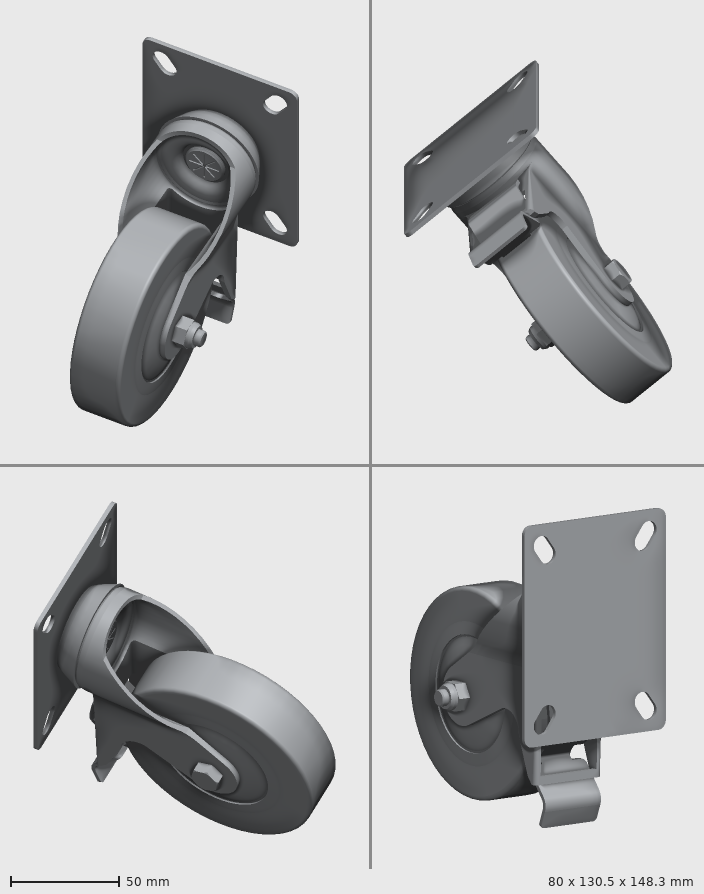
import cadquery as cq
import math


PLATE_WIDTH = 80.0
PLATE_HEIGHT = 104.2
PLATE_THICKNESS = 2.1
PLATE_CORNER_RADIUS = 4.2
SLOT_X = 28.6
SLOT_Z = 40.0
SLOT_RADIUS = 4.5
SLOT_LENGTH = 14.8
SLOT_ANGLE = 54.0

CUP_BACK_RADIUS = 20.6
CUP_SHOULDER_RADIUS = 22.4
CUP_RIM_RADIUS = 26.2
CUP_NECK_RADIUS = 24.5
CUP_SHOULDER_Y = -5.0
CUP_RIM_Y = -13.6

KINGPIN_RADIUS = 6.0
KINGPIN_HEAD_RADIUS = 10.1
KINGPIN_HEAD_HEIGHT = 2.1
KINGPIN_HEAD_CHAMFER = 0.9
STAKE_COUNT = 8
STAKE_LENGTH = 7.7
STAKE_WIDTH = 0.7
STAKE_DEPTH = 0.7

LEG_THICKNESS = 3.0
ARCH_THICKNESS = 2.1
FORK_BACK_Y = -14.5
FORK_RADIUS = 25.6
FORK_BACK_RADIUS = 25.0
FORK_EDGE_Y = -17.5
DISC_FRONT_Y = -20.2
DISC_FILLET = 1.6
DISC_RADIUS = 20.8
BOWL_RADIUS = 18.4
BOWL_FLOOR_RADIUS = 11.9
BOWL_FLOOR_Y = -16.0
LEG_OUTER_X = 18.8
LEG_TANGENT_Z = -21.3
LEG_END_RADIUS = 14.4
LEG_BACK_Y = -20.0
LEG_FOOT_Y = -21.2
LEG_BOTTOM_Z = -75.6
LEG_BEND_TOP_RADIUS = 0.5
LEG_BEND_FOOT_RADIUS = 2.4
WINDOW_TOP_Z = -44.5
WINDOW_BOTTOM_Z = -71.7
WEB_THICKNESS = 2.2
WEB_BEND_RADIUS = 2.2

AXLE_Y = -80.5
AXLE_Z = -42.5
WHEEL_RADIUS = 50.0
WHEEL_HALF_WIDTH = 13.0
TYRE_EDGE_RADIUS = 2.1
RIM_RADIUS = 33.8
RIM_LIP_RADIUS = 27.7
RIM_LIP_HALF_WIDTH = 13.5
RIM_GROOVE_DEPTH = 0.9
DOME_RADIUS = 26.7
DOME_SHOULDER_RADIUS = 19.3
DOME_SHOULDER_HALF_WIDTH = 15.1
HUB_FACE_RADIUS = 14.8

BOLT_RADIUS = 4.0
BOLT_END_X = 31.5
BOLT_END_CHAMFER = 0.6
HEX_ACROSS_FLATS = 12.9
HEX_CHAMFER = 0.7
BOLT_HEAD_HEIGHT = 5.3
BOLT_HEAD_TURN = -20.0
NUT_HEX_HEIGHT = 6.1
NUT_COLLAR_RADIUS = 6.4
NUT_COLLAR_HEIGHT = 3.3
NUT_COLLAR_CHAMFER = 0.9

PEDAL_THICKNESS = 2.0
PEDAL_HALF_WIDTH = 15.7
PEDAL_SPRING_HALF_WIDTH = 14.4
PEDAL_NECK_HALF_WIDTH = 8.5
PEDAL_NECK_START_Y = -28.5
PEDAL_NECK_END_Z = -68.0
PEDAL_CORNER_RADIUS = 2.0
PEDAL_LINE = [
    (-18.2, -34.1),
    (-16.9, -43.0),
    (-16.9, -47.7),
    (-34.1, -65.0),
    (-17.5, -84.0),
    (-22.2, -95.8),
]
PEDAL_BEND_RADII = [1.0, 1.0, 1.0, 5.0]

ring_front_y = LEG_BACK_Y - WEB_THICKNESS
leg_inner_x = LEG_OUTER_X - LEG_THICKNESS

flare_radius = (LEG_TANGENT_Z**2 + LEG_OUTER_X**2 - FORK_RADIUS**2) / (2 * (FORK_RADIUS - LEG_OUTER_X))
flare_x = LEG_OUTER_X + flare_radius
flare_distance = math.hypot(flare_x, LEG_TANGENT_Z)
fork_length = FORK_EDGE_Y - AXLE_Y + LEG_END_RADIUS
flare_top_z = LEG_TANGENT_Z * FORK_RADIUS / flare_distance


def revolve_about_y(outline):
    """Turn a closed outline drawn in the XY plane about the Y axis."""
    return outline.revolve(360, (0, 0, 0), (0, 1, 0))


def axle_cylinder(radius, x_start, x_end):
    return (
        cq.Workplane("YZ", origin=(x_start, AXLE_Y, AXLE_Z))
        .circle(radius)
        .extrude(x_end - x_start)
    )


def axle_hexagon(x_start, x_end, turn):
    """Hexagonal prism on the axle; with no turn, two corners point along Y."""
    corner_diameter = HEX_ACROSS_FLATS / math.cos(math.pi / 6)
    return (
        cq.Workplane("YZ", origin=(x_start, AXLE_Y, AXLE_Z))
        .transformed(rotate=(0, 0, turn))
        .polygon(6, corner_diameter)
        .extrude(x_end - x_start)
    )


def mounting_plate():
    plate = (
        cq.Workplane("XZ")
        .rect(PLATE_WIDTH, PLATE_HEIGHT)
        .extrude(PLATE_THICKNESS)
        .edges("|Y")
        .fillet(PLATE_CORNER_RADIUS)
    )
    for side_x in (-1, 1):
        for side_z in (-1, 1):
            slot = (
                cq.Workplane("XZ")
                .center(side_x * SLOT_X, side_z * SLOT_Z)
                .slot2D(SLOT_LENGTH, 2 * SLOT_RADIUS, side_x * side_z * SLOT_ANGLE)
                .extrude(PLATE_THICKNESS)
            )
            plate = plate.cut(slot)
    return plate


def swivel_cup():
    outline = (
        cq.Workplane("XY")
        .moveTo(KINGPIN_RADIUS, -PLATE_THICKNESS)
        .lineTo(CUP_BACK_RADIUS, -PLATE_THICKNESS)
        .lineTo(CUP_SHOULDER_RADIUS, CUP_SHOULDER_Y)
        .lineTo(CUP_RIM_RADIUS, CUP_RIM_Y)
        .lineTo(CUP_NECK_RADIUS, CUP_RIM_Y)
        .lineTo(CUP_NECK_RADIUS, FORK_BACK_Y)
        .lineTo(KINGPIN_RADIUS, FORK_BACK_Y)
        .close()
    )
    return revolve_about_y(outline)


def kingpin():
    head_front_y = BOWL_FLOOR_Y - KINGPIN_HEAD_HEIGHT
    outline = (
        cq.Workplane("XY")
        .moveTo(0, -PLATE_THICKNESS)
        .lineTo(KINGPIN_RADIUS, -PLATE_THICKNESS)
        .lineTo(KINGPIN_RADIUS, BOWL_FLOOR_Y)
        .lineTo(KINGPIN_HEAD_RADIUS, BOWL_FLOOR_Y)
        .lineTo(KINGPIN_HEAD_RADIUS, head_front_y + KINGPIN_HEAD_CHAMFER)
        .lineTo(KINGPIN_HEAD_RADIUS - KINGPIN_HEAD_CHAMFER, head_front_y)
        .lineTo(0, head_front_y)
        .close()
    )
    pin = revolve_about_y(outline)
    for index in range(STAKE_COUNT):
        groove = (
            cq.Workplane("XZ", origin=(0, head_front_y + STAKE_DEPTH, 0))
            .transformed(rotate=(0, 0, index * 360 / STAKE_COUNT))
            .center(STAKE_LENGTH / 2, 0)
            .rect(STAKE_LENGTH, STAKE_WIDTH)
            .extrude(STAKE_DEPTH)
        )
        pin = pin.cut(groove)
    return pin


def arch_block():
    """Solid arch on two straight legs, running along -Y, with flared sides where they join."""
    tangent_x = flare_x * FORK_RADIUS / flare_distance
    middle_angle = (math.pi + math.atan2(-LEG_TANGENT_Z, -flare_x)) / 2
    middle_x = flare_x + flare_radius * math.cos(middle_angle)
    middle_z = LEG_TANGENT_Z + flare_radius * math.sin(middle_angle)
    return (
        cq.Workplane("XZ", origin=(0, FORK_EDGE_Y, 0))
        .moveTo(LEG_OUTER_X, LEG_BOTTOM_Z)
        .lineTo(LEG_OUTER_X, LEG_TANGENT_Z)
        .threePointArc((middle_x, middle_z), (tangent_x, flare_top_z))
        .threePointArc((0, FORK_RADIUS), (-tangent_x, flare_top_z))
        .threePointArc((-middle_x, middle_z), (-LEG_OUTER_X, LEG_TANGENT_Z))
        .lineTo(-LEG_OUTER_X, LEG_BOTTOM_Z)
        .close()
        .extrude(fork_length)
    )


def arch_hollow():
    """Space inside the arch and between the legs."""
    bore_radius = FORK_RADIUS - ARCH_THICKNESS
    corner_z = -math.sqrt(bore_radius**2 - leg_inner_x**2)
    return (
        cq.Workplane("XZ", origin=(0, FORK_EDGE_Y, 0))
        .moveTo(leg_inner_x, LEG_BOTTOM_Z)
        .lineTo(leg_inner_x, corner_z)
        .threePointArc((0, bore_radius), (-leg_inner_x, corner_z))
        .lineTo(-leg_inner_x, LEG_BOTTOM_Z)
        .close()
        .extrude(fork_length)
    )


def leg_end_tangent(y, z, side):
    """Point where the line from (y, z) touches the round leg end, on the upper (+1) or lower (-1) side."""
    away = math.atan2(z - AXLE_Z, y - AXLE_Y)
    opening = math.acos(LEG_END_RADIUS / math.hypot(z - AXLE_Z, y - AXLE_Y))
    angle = away + side * opening
    return AXLE_Y + LEG_END_RADIUS * math.cos(angle), AXLE_Z + LEG_END_RADIUS * math.sin(angle)


def fork_side_block():
    """The fork's side outline, as a block across its whole width."""
    block_top_z = FORK_RADIUS + 1.5
    brow_top = (-22.5, block_top_z)
    brow_middle = (-24.0, 20.5)
    brow_bottom = (-26.1, 15.7)
    upper_knee = (-68.5, -17.6)
    notch_start = (-47.1, -43.1)
    notch_middle = (-38.8, -44.9)
    notch_end = (-34.4, -54.0)
    heel = (-27.1, -72.3)
    foot = (-24.0, LEG_BOTTOM_Z)
    return (
        cq.Workplane("YZ")
        .moveTo(FORK_EDGE_Y, block_top_z)
        .lineTo(*brow_top)
        .threePointArc(brow_middle, brow_bottom)
        .lineTo(*upper_knee)
        .lineTo(*leg_end_tangent(*upper_knee, 1))
        .threePointArc((AXLE_Y - LEG_END_RADIUS, AXLE_Z), leg_end_tangent(*notch_start, -1))
        .lineTo(*notch_start)
        .threePointArc(notch_middle, notch_end)
        .lineTo(*heel)
        .lineTo(*foot)
        .lineTo(LEG_FOOT_Y, LEG_BOTTOM_Z)
        .lineTo(LEG_BACK_Y, LEG_TANGENT_Z)
        .lineTo(LEG_BACK_Y, flare_top_z)
        .lineTo(FORK_EDGE_Y, flare_top_z)
        .close()
        .extrude(block_top_z, both=True)
    )


def fork_base():
    """Ring around the swivel axis with a dished disc across it."""
    bore = FORK_RADIUS - ARCH_THICKNESS
    fillet_front_y = ring_front_y + DISC_FILLET
    fillet_centre = (bore - DISC_FILLET, fillet_front_y - DISC_FILLET)
    fillet_reach = DISC_FILLET * math.sqrt(0.5)
    bowl_middle = (14.2, -18.8)
    outline = (
        cq.Workplane("XY")
        .moveTo(KINGPIN_RADIUS, FORK_BACK_Y)
        .lineTo(FORK_BACK_RADIUS, FORK_BACK_Y)
        .lineTo(FORK_RADIUS, FORK_EDGE_Y)
        .lineTo(FORK_RADIUS, ring_front_y)
        .lineTo(bore, ring_front_y)
        .threePointArc(
            (fillet_centre[0] + fillet_reach, fillet_centre[1] + fillet_reach),
            (fillet_centre[0], fillet_front_y),
        )
        .lineTo(DISC_RADIUS, DISC_FRONT_Y)
        .lineTo(BOWL_RADIUS, DISC_FRONT_Y)
        .threePointArc(bowl_middle, (BOWL_FLOOR_RADIUS, BOWL_FLOOR_Y))
        .lineTo(KINGPIN_RADIUS, BOWL_FLOOR_Y)
        .close()
    )
    return revolve_about_y(outline)


def web_outline(plane, back_y):
    """Cross-section of the web, with a rounded bend into each leg."""
    front_y = back_y - WEB_THICKNESS
    bend_y = front_y - WEB_BEND_RADIUS
    return (
        plane.moveTo(-leg_inner_x, back_y)
        .lineTo(leg_inner_x, back_y)
        .lineTo(leg_inner_x, bend_y)
        .radiusArc((leg_inner_x - WEB_BEND_RADIUS, front_y), -WEB_BEND_RADIUS)
        .lineTo(WEB_BEND_RADIUS - leg_inner_x, front_y)
        .radiusArc((-leg_inner_x, bend_y), -WEB_BEND_RADIUS)
        .close()
    )


def fork_web():
    """Back wall joining the two legs below the ring, with a window that the pedal's spring passes."""
    leg_top = cq.Workplane("XY", origin=(0, 0, LEG_TANGENT_Z))
    upper = web_outline(leg_top, LEG_BACK_Y).extrude(-LEG_TANGENT_Z)
    leg_bottom = web_outline(leg_top, LEG_BACK_Y).workplane(offset=LEG_BOTTOM_Z - LEG_TANGENT_Z)
    lower = web_outline(leg_bottom, LEG_FOOT_Y).loft(ruled=True)
    depth = LEG_BACK_Y - LEG_FOOT_Y + WEB_THICKNESS + WEB_BEND_RADIUS
    back = cq.Workplane("XZ", origin=(0, LEG_BACK_Y, 0))
    bore = back.circle(FORK_RADIUS - ARCH_THICKNESS).extrude(depth)
    window = (
        back.center(0, (WINDOW_TOP_Z + WINDOW_BOTTOM_Z) / 2)
        .rect(2 * leg_inner_x, WINDOW_TOP_Z - WINDOW_BOTTOM_Z)
        .extrude(depth)
    )
    return upper.union(lower).cut(bore).cut(window)


def bend_corner(plane, back_y, radius):
    """Sharp corner outside a rounding of the +X leg's back edge."""
    return (
        plane.moveTo(LEG_OUTER_X, back_y)
        .lineTo(LEG_OUTER_X, back_y - radius)
        .radiusArc((LEG_OUTER_X - radius, back_y), -radius)
        .close()
    )


def leg_bend_waste():
    """What the rounded back edge of the +X leg leaves off; the rounding widens towards the foot."""
    top = bend_corner(
        cq.Workplane("XY", origin=(0, 0, LEG_TANGENT_Z)), LEG_BACK_Y, LEG_BEND_TOP_RADIUS
    )
    foot_plane = top.workplane(offset=LEG_BOTTOM_Z - LEG_TANGENT_Z)
    return bend_corner(foot_plane, LEG_FOOT_Y, LEG_BEND_FOOT_RADIUS).loft(ruled=True)


def fork():
    sheet_arch = arch_block().cut(arch_hollow()).intersect(fork_side_block())
    body = sheet_arch.union(fork_base()).union(fork_web())
    bend_waste = leg_bend_waste()
    body = body.cut(bend_waste).cut(bend_waste.mirror("YZ"))
    return body.cut(axle_cylinder(BOLT_RADIUS, -LEG_OUTER_X, LEG_OUTER_X))


def tyre():
    return (
        axle_cylinder(WHEEL_RADIUS, -WHEEL_HALF_WIDTH, WHEEL_HALF_WIDTH)
        .edges()
        .fillet(TYRE_EDGE_RADIUS)
        .cut(axle_cylinder(RIM_RADIUS, -WHEEL_HALF_WIDTH, WHEEL_HALF_WIDTH))
    )


def wheel_hub():
    """Rim and domed hub, turned from half an outline that is mirrored across the wheel's middle."""
    groove_x = RIM_LIP_HALF_WIDTH - RIM_GROOVE_DEPTH
    half = (
        cq.Workplane("XY", origin=(0, AXLE_Y, AXLE_Z))
        .moveTo(0, BOLT_RADIUS)
        .lineTo(0, RIM_RADIUS)
        .lineTo(WHEEL_HALF_WIDTH, RIM_RADIUS)
        .lineTo(RIM_LIP_HALF_WIDTH, RIM_LIP_RADIUS)
        .lineTo(groove_x, RIM_LIP_RADIUS)
        .lineTo(groove_x, DOME_RADIUS)
        .threePointArc(
            (DOME_SHOULDER_HALF_WIDTH, DOME_SHOULDER_RADIUS), (leg_inner_x, HUB_FACE_RADIUS)
        )
        .lineTo(leg_inner_x, BOLT_RADIUS)
        .close()
        .revolve(360, (0, 0, 0), (1, 0, 0))
    )
    return half.union(half.mirror("YZ"))


def bolt():
    head_x = -LEG_OUTER_X - BOLT_HEAD_HEIGHT
    corner_radius = HEX_ACROSS_FLATS / 2 / math.cos(math.pi / 6)
    rounding = (
        axle_cylinder(corner_radius, head_x, -LEG_OUTER_X).faces("<X").chamfer(HEX_CHAMFER)
    )
    head = axle_hexagon(head_x, -LEG_OUTER_X, BOLT_HEAD_TURN).intersect(rounding)
    shank = axle_cylinder(BOLT_RADIUS, -LEG_OUTER_X, BOLT_END_X).faces(">X").chamfer(BOLT_END_CHAMFER)
    return head.union(shank)


def nut():
    hex_end_x = LEG_OUTER_X + NUT_HEX_HEIGHT
    collar_end_x = hex_end_x + NUT_COLLAR_HEIGHT
    collar = (
        axle_cylinder(NUT_COLLAR_RADIUS, hex_end_x, collar_end_x)
        .faces(">X")
        .chamfer(NUT_COLLAR_HEIGHT / 2, NUT_COLLAR_CHAMFER)
    )
    body = axle_hexagon(LEG_OUTER_X, hex_end_x, 0).union(collar)
    return body.cut(axle_cylinder(BOLT_RADIUS, LEG_OUTER_X, collar_end_x))


def offset_line(points, distance):
    """Line parallel to an open polyline, with mitred corners, to its left for a positive distance."""
    directions = [math.atan2(b[1] - a[1], b[0] - a[0]) for a, b in zip(points, points[1:])]
    directions = [directions[0]] + directions + [directions[-1]]
    moved = []
    for (y, z), before, after in zip(points, directions, directions[1:]):
        turn = math.remainder(after - before, 2 * math.pi)
        normal = before + turn / 2 + math.pi / 2
        reach = distance / math.cos(turn / 2)
        moved.append((y + reach * math.cos(normal), z + reach * math.sin(normal)))
    return moved


def round_edge(body, x, y, z, radius):
    return body.edges(cq.selectors.NearestToPointSelector((x, y, z))).fillet(radius)


def brake_pedal():
    left = offset_line(PEDAL_LINE, PEDAL_THICKNESS / 2)
    right = offset_line(PEDAL_LINE, -PEDAL_THICKNESS / 2)
    pedal = (
        cq.Workplane("YZ")
        .polyline(left + right[::-1])
        .close()
        .extrude(PEDAL_HALF_WIDTH, both=True)
    )

    for index, bend_radius in enumerate(PEDAL_BEND_RADII, start=1):
        (y0, z0), (y1, z1), (y2, z2) = PEDAL_LINE[index - 1 : index + 2]
        turns_left = (y1 - y0) * (z2 - z1) - (z1 - z0) * (y2 - y1) > 0
        inner, outer = (left, right) if turns_left else (right, left)
        pedal = round_edge(pedal, 0, *inner[index], bend_radius)
        pedal = round_edge(pedal, 0, *outer[index], bend_radius + PEDAL_THICKNESS)

    top_z = PEDAL_LINE[0][1] + PEDAL_THICKNESS
    trim_front_y = PEDAL_LINE[3][0] - 2 * PEDAL_THICKNESS
    spring_back_y = PEDAL_LINE[1][0] + 2 * PEDAL_THICKNESS
    trims = (
        (PEDAL_SPRING_HALF_WIDTH, spring_back_y),
        (PEDAL_NECK_HALF_WIDTH, PEDAL_NECK_START_Y),
    )
    for half_width, back_y in trims:
        for side in (-1, 1):
            trim = cq.Workplane("XY").box(
                PEDAL_HALF_WIDTH - half_width,
                back_y - trim_front_y,
                top_z - PEDAL_NECK_END_Z,
            )
            middle_x = side * (PEDAL_HALF_WIDTH + half_width) / 2
            middle_y = (back_y + trim_front_y) / 2
            middle_z = (top_z + PEDAL_NECK_END_Z) / 2
            pedal = pedal.cut(trim.translate((middle_x, middle_y, middle_z)))

    knee, nose, heel = PEDAL_LINE[2:5]
    spring_slope = (nose[1] - knee[1]) / (nose[0] - knee[0])
    tread_slope = (heel[1] - nose[1]) / (heel[0] - nose[0])
    neck_start = (PEDAL_NECK_START_Y, nose[1] + (PEDAL_NECK_START_Y - nose[0]) * spring_slope)
    neck_end = (nose[0] + (PEDAL_NECK_END_Z - nose[1]) / tread_slope, PEDAL_NECK_END_Z)
    for side in (-1, 1):
        pedal = round_edge(pedal, side * PEDAL_SPRING_HALF_WIDTH, *neck_start, PEDAL_CORNER_RADIUS)
        pedal = round_edge(pedal, side * PEDAL_HALF_WIDTH, *neck_end, PEDAL_CORNER_RADIUS)
        pedal = round_edge(pedal, side * PEDAL_SPRING_HALF_WIDTH, *PEDAL_LINE[0], PEDAL_CORNER_RADIUS)
        pedal = round_edge(pedal, side * PEDAL_HALF_WIDTH, *PEDAL_LINE[-1], PEDAL_CORNER_RADIUS)
    return pedal


result = cq.Compound.makeCompound(
    [
        mounting_plate().val(),
        swivel_cup().val(),
        kingpin().val(),
        fork().val(),
        tyre().val(),
        wheel_hub().val(),
        bolt().val(),
        nut().val(),
        brake_pedal().val(),
    ]
)